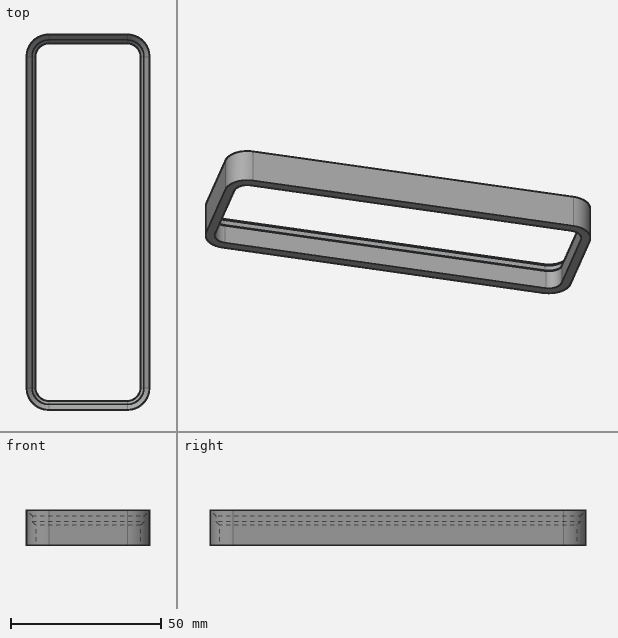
import cadquery as cq

width = 41.0
length = 125
height = 11.8
corner_radius = 7.5

upper_slope = 1.9
lower_slope = 1.19
step_height = 1.9
slope_angle = 45

wall = upper_slope + lower_slope
step_bottom = height - upper_slope - step_height
inner_wall_height = step_bottom - lower_slope


def rounded_block(inset, bottom, depth, taper=0):
    """Block inside the frame outline by `inset`; a negative taper widens it upward."""
    return (
        cq.Workplane("XY")
        .workplane(offset=bottom)
        .sketch()
        .rect(width - 2 * inset, length - 2 * inset)
        .vertices()
        .fillet(corner_radius - inset)
        .finalize()
        .extrude(depth, taper=taper)
    )


frame = rounded_block(0, 0, height)

opening = rounded_block(wall, 0, height)

lower_flare = rounded_block(wall, inner_wall_height, lower_slope, -slope_angle)
step = rounded_block(upper_slope, step_bottom, step_height)
upper_flare = rounded_block(upper_slope, height - upper_slope, upper_slope, -slope_angle)

result = frame.cut(opening).cut(lower_flare).cut(step).cut(upper_flare)